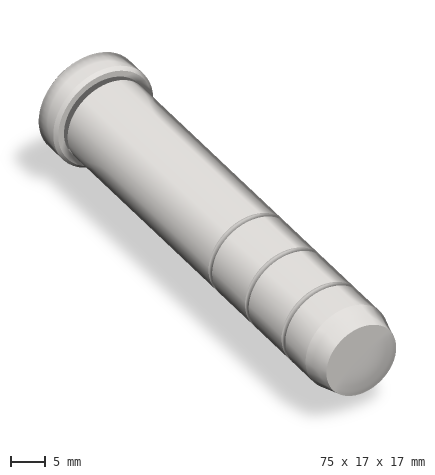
import cadquery as cq
import math

length = 75.0
head_radius = 17.0 / 2
head_length = 5.0
head_chamfer = 0.5
shank_radius = 14.0 / 2

tip_length = 4.0
tip_angle = math.radians(15)
tip_radius = shank_radius - tip_length * math.tan(tip_angle)

groove_radius = 0.5
groove_pitch = 10.0
groove_count = 3
first_groove_x = 45.0


def cylinder(start, end, radius):
    """Solid cylinder about the X axis."""
    return cq.Workplane("YZ").workplane(offset=start).circle(radius).extrude(end - start)


def groove_cutter(x):
    """Ring of round section centred on the shank surface."""
    return (
        cq.Workplane("XY")
        .center(x, shank_radius)
        .circle(groove_radius)
        .revolve(360, (0, -shank_radius, 0), (1, -shank_radius, 0))
    )


def make_shank():
    """Shank with its conical lead-in, revolved about X."""
    tip_start = length - tip_length
    return (
        cq.Workplane("XY")
        .lineTo(0, shank_radius)
        .lineTo(tip_start, shank_radius)
        .lineTo(length, tip_radius)
        .lineTo(length, 0)
        .close()
        .revolve(360, (0, 0, 0), (1, 0, 0))
    )


head = cylinder(0, head_length, head_radius).edges().chamfer(head_chamfer)
result = head.union(make_shank())

neck_x = head_length + groove_radius
groove_positions = [first_groove_x + i * groove_pitch for i in range(groove_count)]
for groove_x in [neck_x] + groove_positions:
    result = result.cut(groove_cutter(groove_x))